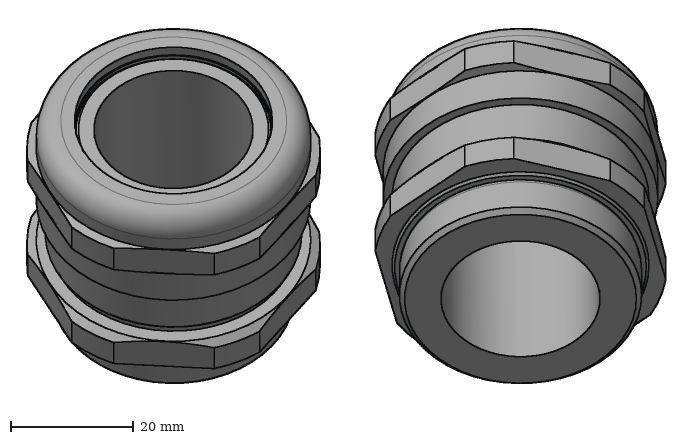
import cadquery as cq

thread_chamfer = 0.85
taper_bottom = 6.9
collar_bottom = 7.55
hex_bottom = 8.0
hex_top = 14.0
neck_top = 15.05
nut_bottom = 24.0
nut_hex_bottom = 30.53
nut_hex_top = 36.35
height = 43.0

across_flats = 45.0
corner_radius = 23.95
hex_end_radius = 22.45
flat_angle = 30
body_hex_cone = 0.9
nut_hex_cone = 0.35

thread_radius = 19.8
taper_end_radius = 19.6
collar_radius = 21.0
neck_radius = 20.17
barrel_radius = 21.0
bore_radius = 13.0
insert_radius = 15.95
rim_radius = 15.55
rim_depth = 2.2

nut_radius = hex_end_radius
nut_rounding = 4.0
mouth_radius = 16.15
mouth_depth = 1.85

barrel_chamfer = barrel_radius - neck_radius
collar_chamfer = hex_bottom - collar_bottom
rim_top = height - rim_depth
rim_chamfer = insert_radius - rim_radius
shoulder = height - nut_rounding


def turned(points):
    """Solid of revolution about Z from a closed outline of (radius, height) points."""
    return cq.Workplane("XZ").polyline(points).close().revolve(360, (0, 0), (0, 1))


def hexagon(bottom, top, bottom_cone, top_cone):
    """Hexagon with flats facing +Y and -Y, round corners, and cones of the given heights."""
    prism = (
        cq.Workplane("XY")
        .workplane(offset=bottom)
        .polygon(6, across_flats, circumscribed=True)
        .extrude(top - bottom)
        .rotate((0, 0, 0), (0, 0, 1), flat_angle)
    )
    cone_width = corner_radius - hex_end_radius
    envelope = cq.Workplane("XY").workplane(offset=bottom).circle(corner_radius).extrude(top - bottom)
    envelope = envelope.faces(">Z").chamfer(top_cone, cone_width)
    if bottom_cone:
        envelope = envelope.faces("<Z").chamfer(bottom_cone, cone_width)
    return prism.intersect(envelope)


def make_body():
    """Threaded sleeve with its hexagon; the narrow insert at the top sits in the nut."""
    sleeve = turned([
        (bore_radius, 0),
        (thread_radius - thread_chamfer, 0),
        (thread_radius, thread_chamfer),
        (thread_radius, taper_bottom),
        (taper_end_radius, collar_bottom),
        (collar_radius - collar_chamfer, collar_bottom),
        (collar_radius, hex_bottom),
        (neck_radius, hex_bottom),
        (neck_radius, neck_top),
        (barrel_radius, neck_top + barrel_chamfer),
        (barrel_radius, shoulder),
        (insert_radius, shoulder),
        (insert_radius, rim_top - rim_chamfer),
        (rim_radius, rim_top),
        (bore_radius, rim_top),
    ])
    bore = cq.Workplane("XY").circle(bore_radius).extrude(height)
    return sleeve.union(hexagon(hex_bottom, hex_top, 0, body_hex_cone).cut(bore))


def make_nut():
    """Cap nut with a rounded crown, closed down to the insert and open at the mouth."""
    shell = cq.Workplane("XY").workplane(offset=nut_bottom).circle(nut_radius).extrude(height - nut_bottom)
    shell = shell.faces(">Z").edges().fillet(nut_rounding)
    shell = shell.union(hexagon(nut_hex_bottom, nut_hex_top, nut_hex_cone, nut_hex_cone))
    cavity = turned([
        (0, nut_bottom),
        (barrel_radius, nut_bottom),
        (barrel_radius, shoulder),
        (insert_radius, shoulder),
        (insert_radius, height - mouth_depth),
        (mouth_radius, height - mouth_depth),
        (mouth_radius, height),
        (0, height),
    ])
    return shell.cut(cavity)


body = make_body()
nut = make_nut()

result = cq.Compound.makeCompound([body.solids().val(), nut.solids().val()])